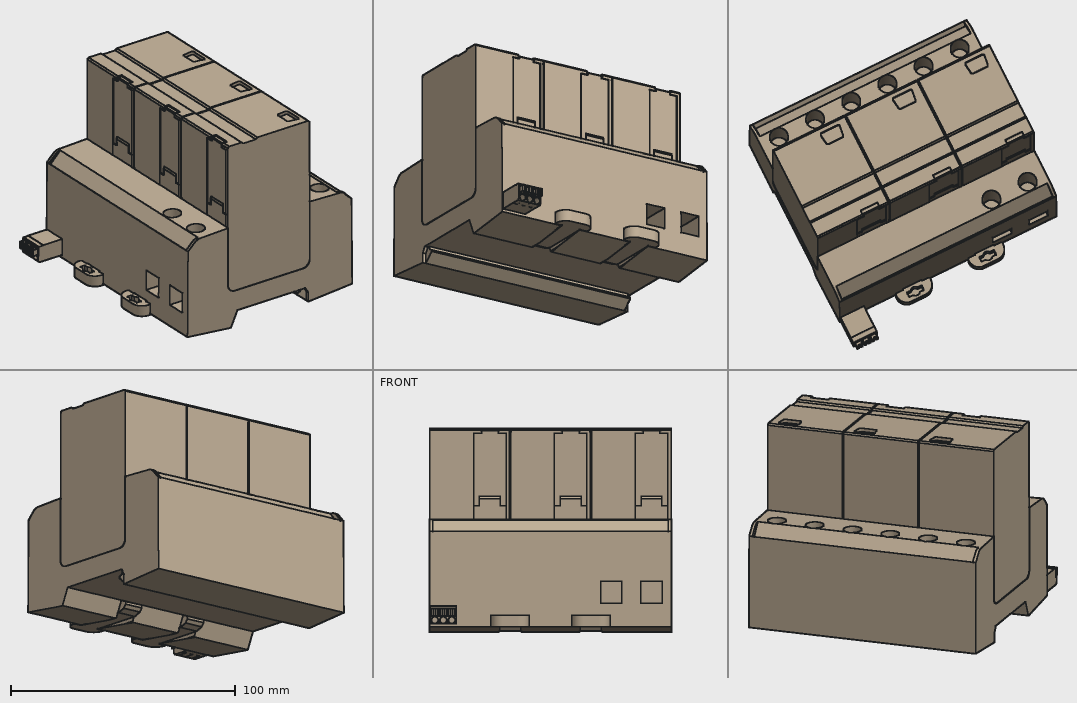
import cadquery as cq


width = 108.0
module_count = 3
module_pitch = width / module_count
pole_pitch = module_pitch / 2
depth = 90.3
wall_draft = 0.3
foot_z = 2.3
shoulder_z = 44.9
deck_edge_z = 49.7
deck_z = 50.2
bevel_run = 3.2
shoulder_depth = 6.6

front_toe_y = 22.7
front_toe_rear_y = 23.9
rail_front_top_y = 27.4
rail_rear_y = 66.2
rail_ceiling_z = 7.7
rear_foot_z = 0.4
rail_relief_z = 5.1
rail_relief_y = 64.6
hook_tip_y = 61.3
hook_tip_bottom_z = 4.5
hook_tip_top_z = 5.3
hook_throat_y = 63.0
hook_throat_z = 6.0
hook_root_y = 63.4
hook_end_inset = 1.6

strip_end_margin = 1.5
front_lip_depth = 0.9
front_lip_drop = 0.6
rear_lip_depth = 2.0
rear_lip_drop = 1.5
rear_strip_depth = 7.6

screw_diameter = 8.2
screw_depth = 21.6
rear_screw_y = 78.7
front_screw_y = 11.0
wire_window = 9.4
wire_window_height = 9.8
wire_window_depth = 16.2
wire_window_z = 17.7

module_front_y = 22.2
module_rear_y = 67.1
module_bottom_z = 17.8
module_top_z = 90.7
module_corner = 3.8
module_end_inset = 0.2
module_edge = 0.8
seam_width = 0.6
seam_depth = 0.9
dip_floor_front_y = 30.7
dip_floor_rear_y = 37.6
dip_depth = 0.8
dip_slope = 0.9

latch_offset = 27.0
panel_width = 14.5
panel_top_z = 88.6
panel_recess = 0.5
panel_neck_width = 7.5
tongue_shoulder_z = 56.2
tongue_top_z = 60.4
tongue_width = 9.3
tongue_recess = 0.1
tongue_bevel_height = 1.0
top_notch_width = 8.3
top_notch_depth = 2.7
top_notch_drop = 0.6
top_notch_bevel = 0.4
pocket_front_y = 58.4
pocket_rear_y = 64.4
pocket_front_width = 8.2
pocket_rear_width = 9.7
pocket_depth = 1.6
pocket_corner = 0.8

clip_count = 2
clip_bottom_z = 2.3
clip_top_z = 7.6
clip_stem_width = 9.4
clip_slot_bevel = 0.4
tab_width = 17.1
tab_front_y = -6.7
tab_rear_y = -0.4
tab_corner = 5.0
tab_rear_corner = 0.6
key_center_y = -3.3
key_diameter = 4.1
key_slot_length = 7.3
key_slot_width = 2.4
key_depth = 4.3
stem_overlap = 0.6
clip_heel_y = 25.6
clip_chin_y = 29.0
clip_chin_z = 3.6
clip_nose_y = 30.3
clip_nose_bottom_z = 5.2
clip_nose_top_z = 6.5
clip_brow_y = 27.6

connector_left = 0.4
connector_width = 11.7
connector_bottom_z = 3.7
connector_top_z = 11.7
connector_front_y = -13.1
connector_step_y = -10.3
connector_step = 0.1
connector_brow = 0.3
connector_chin = 0.8
pole_count = 3
connector_pole_pitch = 3.8
button_width = 2.8
button_tip_y = -15.3
button_bottom_z = 7.2
button_top_z = 10.4
button_gap = 0.3
button_recess_depth = 0.4
button_slot_width = 0.9
button_slot_depth = 0.9
wire_hole_diameter = 3.0
wire_hole_z = 5.3
wire_hole_depth = 5.4


def box(x0, x1, y0, y1, z0, z1):
    """Axis-aligned block between two opposite corners."""
    return cq.Workplane("XY").box(x1 - x0, y1 - y0, z1 - z0, centered=False).translate((x0, y0, z0))


def side_extrusion(points, x0, x1):
    """Closed (Y, Z) outline extruded from x0 to x1."""
    return cq.Workplane("YZ", origin=(x0, 0, 0)).polyline(points).close().extrude(x1 - x0)


def housing():
    """Base body with drafted walls, bevelled shoulders and the rail slot."""
    front_top_y = wall_draft
    rear_top_y = depth - wall_draft
    bevel_z = shoulder_z + bevel_run
    return (
        cq.Workplane("YZ")
        .moveTo(0, foot_z)
        .lineTo(front_top_y, shoulder_z)
        .lineTo(front_top_y + bevel_run, bevel_z)
        .tangentArcPoint((shoulder_depth, deck_edge_z), relative=False)
        .lineTo(module_front_y, deck_z)
        .lineTo(module_rear_y, deck_z)
        .lineTo(depth - shoulder_depth, deck_edge_z)
        .tangentArcPoint((rear_top_y - bevel_run, bevel_z), relative=False)
        .lineTo(rear_top_y, shoulder_z)
        .lineTo(depth, foot_z)
        .lineTo(rail_rear_y, rear_foot_z)
        .lineTo(rail_rear_y, rail_relief_z)
        .lineTo(rail_relief_y, rail_ceiling_z)
        .lineTo(rail_front_top_y, rail_ceiling_z)
        .lineTo(front_toe_rear_y, 0)
        .lineTo(front_toe_y, 0)
        .close()
        .extrude(width)
    )


def rail_hook():
    """Fixed hook under the rear edge of the rail."""
    outline = [
        (rail_rear_y, rear_foot_z),
        (hook_tip_y, hook_tip_bottom_z),
        (hook_tip_y, hook_tip_top_z),
        (hook_throat_y, hook_throat_z),
        (hook_root_y, rail_ceiling_z),
        (rail_rear_y, rail_ceiling_z),
    ]
    return side_extrusion(outline, hook_end_inset, width - hook_end_inset)


def label_strips():
    """Material removed from both shoulders between the end ribs."""
    front = [
        (wall_draft, shoulder_z),
        (wall_draft + front_lip_depth, shoulder_z - front_lip_drop),
        (shoulder_depth, deck_edge_z),
        (shoulder_depth, deck_z),
        (wall_draft, deck_z),
    ]
    rear_wall_y = depth - wall_draft
    rear = [
        (rear_wall_y, shoulder_z),
        (rear_wall_y - rear_lip_depth, shoulder_z - rear_lip_drop),
        (depth - rear_strip_depth, deck_edge_z),
        (depth - rear_strip_depth, deck_z),
        (rear_wall_y, deck_z),
    ]
    x0 = strip_end_margin
    x1 = width - strip_end_margin
    return side_extrusion(front, x0, x1).union(side_extrusion(rear, x0, x1))


def terminals():
    """Screw holes through the decks and wire windows in the front wall."""
    pole_x = [(i + 0.5) * pole_pitch for i in range(2 * module_count)]
    front_pole_x = pole_x[-2:]
    screws = [(x, rear_screw_y) for x in pole_x] + [(x, front_screw_y) for x in front_pole_x]
    cut = (
        cq.Workplane("XY", origin=(0, 0, deck_z - screw_depth))
        .pushPoints(screws)
        .circle(screw_diameter / 2)
        .extrude(screw_depth)
    )
    for x in front_pole_x:
        window = box(
            x - wire_window / 2,
            x + wire_window / 2,
            0,
            wire_window_depth,
            wire_window_z - wire_window_height / 2,
            wire_window_z + wire_window_height / 2,
        )
        cut = cut.union(window)
    return cut


def module_row(x0, x1):
    """Modules as one block with rounded lower corners, bevelled top and a dip across it."""
    outline = [
        (module_front_y, module_bottom_z),
        (module_front_y, module_top_z - module_edge),
        (module_front_y + module_edge, module_top_z),
        (dip_floor_front_y - dip_slope, module_top_z),
        (dip_floor_front_y, module_top_z - dip_depth),
        (dip_floor_rear_y, module_top_z - dip_depth),
        (dip_floor_rear_y + dip_slope, module_top_z),
        (module_rear_y - module_edge, module_top_z),
        (module_rear_y, module_top_z - module_edge),
        (module_rear_y, module_bottom_z),
    ]
    return side_extrusion(outline, x0, x1).edges("|X and <Z").fillet(module_corner)


def module_seam(x):
    """Narrow gap between two modules, open to the front, top and rear."""
    x0 = x - seam_width / 2
    x1 = x + seam_width / 2
    slab = box(x0, x1, module_front_y, module_rear_y, deck_z, module_top_z)
    core = box(
        x0,
        x1,
        module_front_y + seam_depth,
        module_rear_y - seam_depth,
        deck_z,
        module_top_z - dip_depth - seam_depth,
    )
    return slab.cut(core)


def latch_recess(x):
    """Sunk latch panel with its neck, plus the notch in the top edge."""
    panel_floor_y = module_front_y + panel_recess
    half = panel_width / 2
    panel = box(x - half, x + half, module_front_y, panel_floor_y, deck_z, panel_top_z)
    half = panel_neck_width / 2
    neck = box(x - half, x + half, module_front_y, panel_floor_y, panel_top_z, module_top_z)
    half = top_notch_width / 2
    notch_floor_z = module_top_z - top_notch_drop
    notch_outline = [
        (module_front_y, module_top_z),
        (module_front_y, notch_floor_z - top_notch_bevel),
        (panel_floor_y, notch_floor_z - top_notch_bevel),
        (panel_floor_y + top_notch_bevel, notch_floor_z),
        (module_front_y + top_notch_depth, notch_floor_z),
        (module_front_y + top_notch_depth, module_top_z),
    ]
    notch = side_extrusion(notch_outline, x - half, x + half)
    return panel.union(neck).union(notch)


def latch_tongue(x):
    """Stepped tongue standing in the lower end of the latch panel."""
    face_y = module_front_y + tongue_recess
    back_y = module_front_y + panel_recess
    half = panel_width / 2
    foot = box(x - half, x + half, face_y, back_y, deck_z, tongue_shoulder_z)
    outline = [
        (face_y, deck_z),
        (face_y, tongue_top_z - tongue_bevel_height),
        (back_y, tongue_top_z),
        (back_y, deck_z),
    ]
    half = tongue_width / 2
    return foot.union(side_extrusion(outline, x - half, x + half))


def marking_pocket(x):
    """Shallow tapered pocket near the rear of a module top."""
    rear_half = pocket_rear_width / 2
    front_half = pocket_front_width / 2
    outline = [
        (x - rear_half, pocket_rear_y),
        (x + rear_half, pocket_rear_y),
        (x + front_half, pocket_front_y),
        (x - front_half, pocket_front_y),
    ]
    return (
        cq.Workplane("XY", origin=(0, 0, module_top_z - pocket_depth))
        .polyline(outline)
        .close()
        .extrude(pocket_depth)
        .edges("|Z")
        .fillet(pocket_corner)
    )


def clip_slot(x):
    """Channel through the front foot, bevelled along its lower edges."""
    half = clip_stem_width / 2
    mouth = half + clip_slot_bevel
    outline = [
        (x - mouth, 0),
        (x - half, clip_slot_bevel),
        (x - half, clip_top_z),
        (x + half, clip_top_z),
        (x + half, clip_slot_bevel),
        (x + mouth, 0),
    ]
    return cq.Workplane("XZ").polyline(outline).close().extrude(-rail_front_top_y)


def rail_clip(x):
    """Sliding clip: keyed pull tab in front, stem, and sloping nose in the rail slot."""
    tab = box(
        x - tab_width / 2,
        x + tab_width / 2,
        tab_front_y,
        tab_rear_y,
        clip_bottom_z,
        clip_top_z,
    )
    tab = tab.edges("|Z and <Y").fillet(tab_corner)
    tab = tab.edges("|Z and >Y").fillet(tab_rear_corner)
    key = (
        cq.Workplane("XY", origin=(x, key_center_y, clip_top_z - key_depth))
        .circle(key_diameter / 2)
        .extrude(key_depth)
        .union(
            cq.Workplane("XY", origin=(x, key_center_y, clip_top_z - key_depth))
            .rect(key_slot_length, key_slot_width)
            .extrude(key_depth)
        )
    )
    stem_front_y = tab_rear_y - stem_overlap
    stem_outline = [
        (stem_front_y, clip_bottom_z),
        (clip_heel_y, clip_bottom_z),
        (clip_chin_y, clip_chin_z),
        (clip_nose_y, clip_nose_bottom_z),
        (clip_nose_y, clip_nose_top_z),
        (clip_brow_y, clip_top_z),
        (stem_front_y, clip_top_z),
    ]
    half = clip_stem_width / 2
    return tab.cut(key).union(side_extrusion(stem_outline, x - half, x + half))


def connector():
    """Three-pole plug with slotted push buttons above round wire holes."""
    right = connector_left + connector_width
    ledge_z = connector_top_z - connector_step
    outline = [
        (wall_draft, connector_bottom_z),
        (wall_draft, connector_top_z),
        (connector_step_y, connector_top_z),
        (connector_step_y, ledge_z),
        (connector_front_y + connector_brow, ledge_z),
        (connector_front_y, ledge_z - connector_brow),
        (connector_front_y, connector_bottom_z + connector_chin),
        (connector_front_y + connector_chin, connector_bottom_z),
    ]
    body = side_extrusion(outline, connector_left, right)
    center = connector_left + connector_width / 2
    for i in range(pole_count):
        x = center + (i - (pole_count - 1) / 2) * connector_pole_pitch
        half = button_width / 2
        floor_y = connector_front_y + button_recess_depth
        recess = box(
            x - half - button_gap,
            x + half + button_gap,
            connector_front_y,
            floor_y,
            button_bottom_z - button_gap,
            button_top_z,
        )
        button = box(x - half, x + half, button_tip_y, floor_y, button_bottom_z, button_top_z)
        slot = box(
            x - button_slot_width / 2,
            x + button_slot_width / 2,
            button_tip_y,
            button_tip_y + button_slot_depth,
            button_bottom_z,
            button_top_z,
        )
        wire_hole = (
            cq.Workplane("XZ", origin=(x, connector_front_y, wire_hole_z))
            .circle(wire_hole_diameter / 2)
            .extrude(-wire_hole_depth)
        )
        body = body.cut(wire_hole).cut(recess).union(button.cut(slot))
    return body


result = housing().union(rail_hook()).cut(label_strips()).cut(terminals())
result = result.cut(module_row(0, width))
result = result.union(module_row(module_end_inset, width - module_end_inset))

for i in range(1, module_count):
    result = result.cut(module_seam(i * module_pitch))

for i in range(module_count):
    latch_x = i * module_pitch + latch_offset
    result = result.cut(latch_recess(latch_x)).union(latch_tongue(latch_x))
    result = result.cut(marking_pocket(latch_x))

for i in range(1, clip_count + 1):
    clip_x = i * module_pitch
    result = result.cut(clip_slot(clip_x)).union(rail_clip(clip_x))

result = result.union(connector())